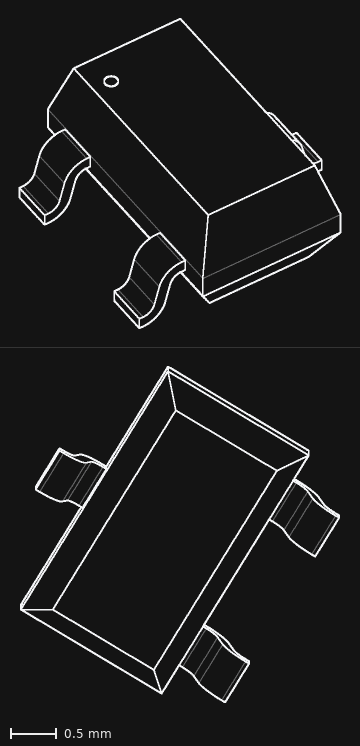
import cadquery as cq
import math

LENGTH = 3.1
WIDTH = 1.8
BAND_BOTTOM = 0.46
BAND_TOP = 0.745
HOUSING_TOP = 1.44
TOP_INSET = 0.205
BOTTOM_INSET = 0.255

OVERALL_HEIGHT = 1.45
MARKER_DIAMETER = 0.155
MARKER_HEIGHT = OVERALL_HEIGHT - HOUSING_TOP
MARKER_Y = -0.465

OVERALL_SPAN = 3.0
LEAD_WIDTH = 0.505
LEAD_THICKNESS = 0.15
LEAD_TOP = 0.725
LEAD_OFFSET = 0.95
INNER_RADIUS = 0.152
LEAN = 15.0

MARKER_X = -LEAD_OFFSET

LEAD_PLACES = [(-LEAD_OFFSET, -1), (LEAD_OFFSET, -1), (0, 1)]


def make_frustum(z, height, inset):
    """Taper the band outline from height z by the given inset; negative height goes down."""
    return (
        cq.Workplane("XY", origin=(0, 0, z))
        .rect(LENGTH, WIDTH)
        .workplane(offset=height)
        .rect(LENGTH - 2 * inset, WIDTH - 2 * inset)
        .loft(ruled=True)
    )


def make_housing():
    band = cq.Workplane("XY", origin=(0, 0, BAND_BOTTOM)).rect(LENGTH, WIDTH).extrude(BAND_TOP - BAND_BOTTOM)
    upper = make_frustum(BAND_TOP, HOUSING_TOP - BAND_TOP, TOP_INSET)
    lower = make_frustum(BAND_BOTTOM, -BAND_BOTTOM, BOTTOM_INSET)
    return band.union(upper).union(lower)


def make_marker():
    return (
        cq.Workplane("XY", origin=(MARKER_X, MARKER_Y, HOUSING_TOP))
        .circle(MARKER_DIAMETER / 2)
        .extrude(MARKER_HEIGHT)
    )


def make_lead(x, direction):
    """Bend a flat strip from the housing side down to a foot at z = 0."""
    outer_radius = INNER_RADIUS + LEAD_THICKNESS
    middle_radius = INNER_RADIUS + LEAD_THICKNESS / 2
    lean = math.radians(LEAN)

    centre_drop = LEAD_TOP - 2 * outer_radius
    leg_length = (centre_drop + 2 * middle_radius * math.sin(lean)) / math.cos(lean)
    centre_spacing = 2 * middle_radius * math.cos(lean) + leg_length * math.sin(lean)
    root = WIDTH / 2
    tip = OVERALL_SPAN / 2
    flat_length = (tip - root - centre_spacing) / 2
    upper_centre = (root + flat_length, LEAD_TOP - outer_radius)
    lower_centre = (tip - flat_length, outer_radius)

    def bend_point(centre, radius, degrees):
        angle = math.radians(degrees)
        distance = centre[0] + radius * math.cos(angle)
        return (direction * distance, centre[1] + radius * math.sin(angle))

    upper_end = LEAN
    upper_middle = (90 + LEAN) / 2
    lower_start = 180 + LEAN
    lower_middle = (lower_start + 270) / 2

    return (
        cq.Workplane("YZ", origin=(x, 0, 0))
        .moveTo(direction * root, LEAD_TOP)
        .lineTo(*bend_point(upper_centre, outer_radius, 90))
        .threePointArc(
            bend_point(upper_centre, outer_radius, upper_middle),
            bend_point(upper_centre, outer_radius, upper_end),
        )
        .lineTo(*bend_point(lower_centre, INNER_RADIUS, lower_start))
        .threePointArc(
            bend_point(lower_centre, INNER_RADIUS, lower_middle),
            bend_point(lower_centre, INNER_RADIUS, 270),
        )
        .lineTo(direction * tip, LEAD_THICKNESS)
        .lineTo(direction * tip, 0)
        .lineTo(*bend_point(lower_centre, outer_radius, 270))
        .threePointArc(
            bend_point(lower_centre, outer_radius, lower_middle),
            bend_point(lower_centre, outer_radius, lower_start),
        )
        .lineTo(*bend_point(upper_centre, INNER_RADIUS, upper_end))
        .threePointArc(
            bend_point(upper_centre, INNER_RADIUS, upper_middle),
            bend_point(upper_centre, INNER_RADIUS, 90),
        )
        .lineTo(direction * root, LEAD_TOP - LEAD_THICKNESS)
        .close()
        .extrude(LEAD_WIDTH / 2, both=True)
    )


housing = make_housing()
marker = make_marker()
leads = [make_lead(x, direction).val() for x, direction in LEAD_PLACES]

result = cq.Compound.makeCompound([housing.val(), marker.val(), *leads])